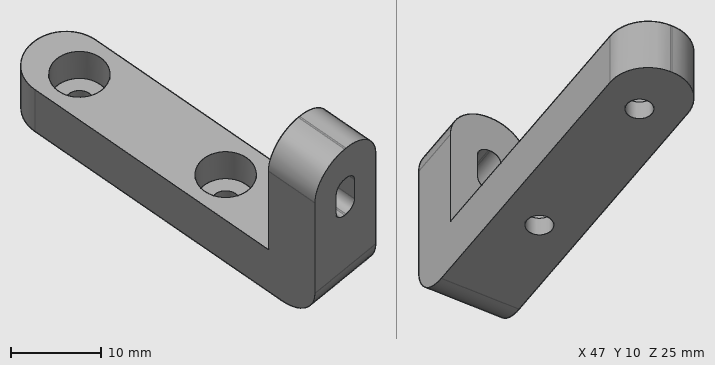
import cadquery as cq

length = 47.0
width = 10.0
height = 25.0
thickness = 7.0

end_radius = 4.9
heel_radius = 5.0

hole_positions = (7.0, 29.0)
hole_diameter = 3.2
counterbore_diameter = 6.8
counterbore_depth = 4.5

slot_width = 3.0
slot_length = 6.0
slot_corner_radius = 1.4
slot_center_z = 17.0


def make_body():
    """L-shaped bar, centred on Y, with rounded heel and rounded free ends."""
    base = cq.Workplane("XY").box(length, width, thickness, centered=(False, True, False))
    upright = (
        cq.Workplane("XY")
        .box(thickness, width, height, centered=(False, True, False))
        .translate((length - thickness, 0, 0))
    )
    body = base.union(upright)
    body = body.faces("<X").edges("|Z").fillet(end_radius)
    body = body.faces(">Z").edges("|X").fillet(end_radius)
    return body.faces(">X").edges("<Z").fillet(heel_radius)


def add_screw_holes(body):
    """Counterbored holes, sunk from the upper face of the base."""
    return (
        body.copyWorkplane(cq.Workplane("XY", origin=(0, 0, thickness)))
        .pushPoints([(x, 0) for x in hole_positions])
        .cboreHole(hole_diameter, counterbore_diameter, counterbore_depth, depth=thickness)
    )


def cut_slot(body):
    """Slot running through the upright along X, its ends rounded by corner fillets."""
    slot = (
        cq.Workplane("XY")
        .box(thickness, slot_width, slot_length)
        .edges("|X")
        .fillet(slot_corner_radius)
        .translate((length - thickness / 2, 0, slot_center_z))
    )
    return body.cut(slot)


result = cut_slot(add_screw_holes(make_body()))